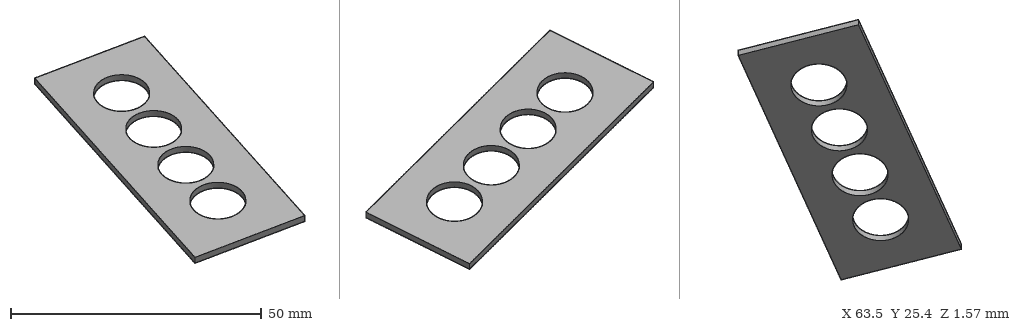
import cadquery as cq

hole_pitch = 12.7
hole_count = 4
hole_diameter = 11.18
plate_thickness = 1.57

plate_length = (hole_count + 1) * hole_pitch
plate_width = 2 * hole_pitch


def make_plate():
    """Flat rectangular plate centred on the origin."""
    return cq.Workplane("XY").box(plate_length, plate_width, plate_thickness)


def drill_hole_row(plate):
    """Evenly spaced through holes along the plate's long centreline."""
    return (
        plate.faces(">Z")
        .workplane()
        .rarray(hole_pitch, hole_pitch, hole_count, 1)
        .hole(hole_diameter)
    )


result = drill_hole_row(make_plate())